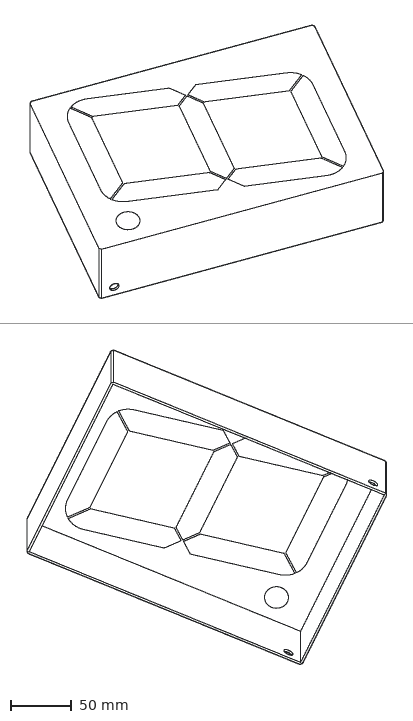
import cadquery as cq
import math

length_x = 172.0
length_y = 250.0
height = 62.0
wall = 2.0
corner_chamfer = 1.8
cavity_height = height - wall

cross_hole_diameter = 8.0
cross_hole_edge_distance = 13.0
cross_hole_y = cross_hole_edge_distance - length_y / 2
cross_hole_z = 10.0

lean = math.tan(math.radians(10))
stroke = 19.8
segment_gap = 1.5
outer_half_height = 102.0
inner_half_width = 39.0

point_diameter = stroke
point_x = 64.0
point_y = point_diameter / 2 - outer_half_height

side_stroke = stroke * math.hypot(1, lean)
tip_half_width = inner_half_width + side_stroke / 2
outer_half_width = inner_half_width + side_stroke
inner_half_height = outer_half_height - stroke
bar_half_height = stroke / 2


def leaning(x, y):
    """Position of an upright digit point once the digit leans."""
    return (x + y * lean, y)


def plate(points):
    """Plate with the leaning outline of these points, filling the thickness of the top wall."""
    outline = [leaning(x, y) for x, y in points]
    return cq.Workplane("XY").workplane(offset=cavity_height).polyline(outline).close().extrude(wall)


def make_digit_outline():
    """Leaning block around the whole digit, rounded concentric with the inner corners."""
    w = outer_half_width
    h = outer_half_height
    return plate([(-w, -h), (w, -h), (w, h), (-w, h)]).edges("|Z").fillet(stroke)


def make_gap(start, end):
    """Straight strip that separates two segments, a gap width longer than the line at each end."""
    x1, y1 = leaning(*start)
    x2, y2 = leaning(*end)
    angle = math.degrees(math.atan2(y2 - y1, x2 - x1))
    strip_length = math.hypot(x2 - x1, y2 - y1) + 2 * segment_gap
    strip = cq.Workplane("XY").box(strip_length, segment_gap, wall, centered=(True, True, False))
    strip = strip.rotate((0, 0, 0), (0, 0, 1), angle)
    return strip.translate(((x1 + x2) / 2, (y1 + y2) / 2, cavity_height))


def make_gaps():
    """Diagonal strips at the digit's corners and at both tips of the middle segment."""
    gaps = []
    for sx in (-1, 1):
        for sy in (-1, 1):
            inner_corner = (sx * inner_half_width, sy * inner_half_height)
            outer_corner = (sx * outer_half_width, sy * outer_half_height)
            gaps.append(make_gap(inner_corner, outer_corner))
            bar_corner = (sx * inner_half_width, sy * bar_half_height)
            notch_corner = (sx * outer_half_width, -sy * bar_half_height)
            gaps.append(make_gap(bar_corner, notch_corner))
    return gaps


def make_segment(points):
    """One segment: its share of the digit outline, less the gaps to its neighbours."""
    segment = plate(points).intersect(make_digit_outline())
    for gap in make_gaps():
        segment = segment.cut(gap)
    return segment


def end_segment(sy):
    """Horizontal segment at the top (sy = 1) or the foot (sy = -1) of the digit."""
    return make_segment([
        (-outer_half_width, sy * outer_half_height),
        (outer_half_width, sy * outer_half_height),
        (inner_half_width, sy * inner_half_height),
        (-inner_half_width, sy * inner_half_height),
    ])


def side_segment(sx, sy):
    """Upright segment on the side sx, in the upper (sy = 1) or lower (sy = -1) half."""
    return make_segment([
        (sx * outer_half_width, sy * outer_half_height),
        (sx * inner_half_width, sy * inner_half_height),
        (sx * inner_half_width, sy * bar_half_height),
        (sx * tip_half_width, 0),
        (sx * outer_half_width, sy * bar_half_height),
    ])


def middle_segment():
    """Horizontal segment across the middle, pointed at both ends."""
    return make_segment([
        (-tip_half_width, 0),
        (-inner_half_width, bar_half_height),
        (inner_half_width, bar_half_height),
        (tip_half_width, 0),
        (inner_half_width, -bar_half_height),
        (-inner_half_width, -bar_half_height),
    ])


def make_decimal_point():
    """Round disc set into the top wall beside the digit."""
    disc = cq.Workplane("XY").workplane(offset=cavity_height).center(point_x, point_y)
    return disc.circle(point_diameter / 2).extrude(wall)


def make_housing(inserts):
    """Open-bottomed box with a matching window in its top wall for every insert."""
    body = cq.Workplane("XY").box(length_x, length_y, height, centered=(True, True, False))
    body = body.edges("|Z").chamfer(corner_chamfer)
    cavity = cq.Workplane("XY").box(
        length_x - 2 * wall, length_y - 2 * wall, cavity_height, centered=(True, True, False)
    )
    cross_hole = (
        cq.Workplane("YZ")
        .center(cross_hole_y, cross_hole_z)
        .circle(cross_hole_diameter / 2)
        .extrude(length_x / 2, both=True)
    )
    body = body.cut(cavity).cut(cross_hole)
    for insert in inserts:
        body = body.cut(insert)
    return body


segments = [end_segment(sy) for sy in (-1, 1)]
segments += [side_segment(sx, sy) for sx in (-1, 1) for sy in (-1, 1)]
segments.append(middle_segment())

decimal_point = make_decimal_point()
housing = make_housing(segments + [decimal_point])

result = cq.Compound.makeCompound(
    [housing.solids().val(), decimal_point.val()] + [segment.solids().val() for segment in segments]
)